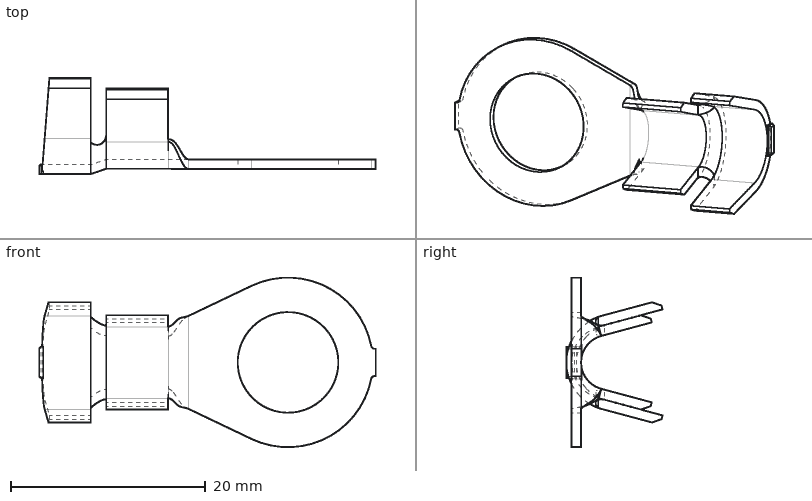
import cadquery as cq
import math

SHEET = 1.0
LENGTH = 34.6
WING_LEAN = 15.0
BEND_ANGLE = 90.0 - WING_LEAN

INS_BASE = -0.52
INS_RADIUS = 5.0
INS_TIP = 9.38
INS_START = 0.28
INS_END = 5.33
INS_END_TILT = 4.5

WIRE_BASE = 0.0
WIRE_RADIUS = 3.8
WIRE_TIP = 8.27
WIRE_START = 6.9
WIRE_END = 13.25

BEVEL_RUN = 0.85
BEVEL_DEPTH = 0.6

NOTCH_X = 5.95
NOTCH_Y = 3.4
NOTCH_RADIUS = 0.9
WEB_STRAIGHT = 0.75

RING_X = 25.58
RING_RADIUS = 8.72
HOLE_RADIUS = 5.15
NECK_X = 15.33
NECK_TAPER = 25.5
FLATTEN_STEPS = 5
TANGENT_X = RING_X - RING_RADIUS * math.sin(math.radians(NECK_TAPER))
TANGENT_Z = RING_RADIUS * math.cos(math.radians(NECK_TAPER))
NECK_HALF_WIDTH = TANGENT_Z - (TANGENT_X - NECK_X) * math.tan(math.radians(NECK_TAPER))

TAB_LENGTH = 0.4
TAB_HALF_WIDTH = 1.63
TAB_CHAMFER = 0.2
TAB_BEVEL = 0.17
STUB_HALF_WIDTH = 1.42
STUB_FILLET = 0.3


def bend_point(base, radius, bend_radius, angle):
    """Point (Y, Z) at an angle on a bend whose outside radius touches Y = base."""
    turn = math.radians(angle)
    return base + radius - bend_radius * math.cos(turn), bend_radius * math.sin(turn)


def along_wing(point, along, outward=0.0):
    """Move a (Y, Z) point along the +Z wing and outward across it."""
    lean = math.radians(WING_LEAN)
    y = point[0] + along * math.cos(lean) - outward * math.sin(lean)
    z = point[1] + along * math.sin(lean) + outward * math.cos(lean)
    return y, z


def u_wire(x, base, outer_end, tip_points, inner_end):
    """Closed U section on the plane at x; the +Z half is given and mirrored."""

    def place(point, side=1):
        return cq.Vector(x, point[0], side * point[1])

    outer_mid = (base, 0.0)
    inner_mid = (base + SHEET, 0.0)
    points = [outer_end] + tip_points + [inner_end]
    lower = [place(p, -1) for p in reversed(points)]
    upper = [place(p) for p in points]
    edges = [cq.Edge.makeThreePointArc(lower[-1], place(outer_mid), upper[0])]
    edges += [cq.Edge.makeLine(a, b) for a, b in zip(upper, upper[1:])]
    edges.append(cq.Edge.makeThreePointArc(upper[-1], place(inner_mid), lower[0]))
    edges += [cq.Edge.makeLine(a, b) for a, b in zip(lower, lower[1:])]
    return cq.Wire.assembleEdges(edges)


def barrel_wire(x, base, radius, tip_points):
    """Barrel section with the full bend and the given wing-tip points."""
    outer_end = bend_point(base, radius, radius, BEND_ANGLE)
    inner_end = bend_point(base, radius, radius - SHEET, BEND_ANGLE)
    return u_wire(x, base, outer_end, tip_points, inner_end)


def barrel(x_start, x_end, base, radius, tip_y):
    """Open barrel: round bottom and two leaning wings with bevelled tips."""
    inner_end = bend_point(base, radius, radius - SHEET, BEND_ANGLE)
    wing = (tip_y - inner_end[0]) / math.cos(math.radians(WING_LEAN))
    tips = [
        along_wing(inner_end, wing - BEVEL_RUN, SHEET),
        along_wing(inner_end, wing, SHEET - BEVEL_DEPTH),
        along_wing(inner_end, wing),
    ]
    section = barrel_wire(x_start, base, radius, tips)
    return cq.Workplane(cq.Solid.extrudeLinear(section, [], cq.Vector(x_end - x_start, 0, 0)))


def insulation_barrel():
    """Larger barrel, with its left end sloping away from the tab."""
    body = barrel(0, INS_END, INS_BASE, INS_RADIUS, INS_TIP)
    height = INS_TIP - INS_BASE
    slope = height * math.tan(math.radians(INS_END_TILT))
    waste = (
        cq.Workplane("XY")
        .moveTo(0, INS_BASE)
        .lineTo(INS_START, INS_BASE)
        .lineTo(INS_START + slope, INS_TIP)
        .lineTo(0, INS_TIP)
        .close()
        .extrude(INS_TIP, both=True)
    )
    return body.cut(waste)


def web():
    """Stretch between the barrels, with its upper edges rounded out by the notch."""

    def section(x, base, radius):
        inner_end = bend_point(base, radius, radius - SHEET, BEND_ANGLE)
        edge = [along_wing(inner_end, WEB_STRAIGHT, SHEET), along_wing(inner_end, WEB_STRAIGHT)]
        return barrel_wire(x, base, radius, edge)

    body = cq.Solid.makeLoft(
        [section(INS_END, INS_BASE, INS_RADIUS), section(WIRE_START, WIRE_BASE, WIRE_RADIUS)], True
    )
    notch = (
        cq.Workplane("XY")
        .center(NOTCH_X, NOTCH_Y)
        .circle(NOTCH_RADIUS)
        .extrude(INS_TIP, both=True)
    )
    above = (
        cq.Workplane("XY")
        .rect(LENGTH, INS_TIP)
        .extrude(INS_TIP, both=True)
        .translate((0, NOTCH_Y + INS_TIP / 2, 0))
    )
    return cq.Workplane(body).cut(notch).cut(above)


def flattening():
    """Stretch where the round bottom of the wire barrel opens into the flat neck."""
    start_half_width = (WIRE_RADIUS - SHEET / 2) * math.radians(BEND_ANGLE)
    sections = []
    for step in range(FLATTEN_STEPS):
        progress = step / FLATTEN_STEPS
        angle = BEND_ANGLE * (1 + math.cos(math.pi * progress)) / 2
        half_width = start_half_width + progress**2 * (NECK_HALF_WIDTH - start_half_width)
        radius = half_width / math.radians(angle) + SHEET / 2
        outer_end = bend_point(WIRE_BASE, radius, radius, angle)
        inner_end = bend_point(WIRE_BASE, radius, radius - SHEET, angle)
        x = WIRE_END + progress * (NECK_X - WIRE_END)
        sections.append(u_wire(x, WIRE_BASE, outer_end, [], inner_end))
    neck = (
        cq.Workplane("YZ", origin=(NECK_X, WIRE_BASE + SHEET / 2, 0))
        .rect(SHEET, 2 * NECK_HALF_WIDTH)
        .wires()
        .val()
    )
    return cq.Workplane(cq.Solid.makeLoft(sections + [neck]))


def ring():
    """Flat ring with a tapered neck, a round hole and a short stub at the far end."""
    stub_root_x = RING_X + math.sqrt(RING_RADIUS**2 - STUB_HALF_WIDTH**2)
    outline = (
        cq.Workplane("XZ")
        .moveTo(NECK_X, -NECK_HALF_WIDTH)
        .lineTo(TANGENT_X, -TANGENT_Z)
        .threePointArc((RING_X, -RING_RADIUS), (stub_root_x, -STUB_HALF_WIDTH))
        .lineTo(LENGTH, -STUB_HALF_WIDTH)
        .lineTo(LENGTH, STUB_HALF_WIDTH)
        .lineTo(stub_root_x, STUB_HALF_WIDTH)
        .threePointArc((RING_X, RING_RADIUS), (TANGENT_X, TANGENT_Z))
        .lineTo(NECK_X, NECK_HALF_WIDTH)
        .close()
    )
    plate = outline.extrude(-SHEET)
    stub_roots = cq.selectors.BoxSelector(
        (stub_root_x - STUB_FILLET / 2, -SHEET, -RING_RADIUS),
        (stub_root_x + STUB_FILLET / 2, 2 * SHEET, RING_RADIUS),
    )
    plate = plate.edges("|Y").edges(stub_roots).fillet(STUB_FILLET)
    hole = cq.Workplane("XZ").center(RING_X, 0).circle(HOLE_RADIUS).extrude(-SHEET)
    return plate.cut(hole)


def tab():
    """Flat carrier tab at X = 0, with bevelled sides and a bevelled +Y edge."""
    block = (
        cq.Workplane("XY")
        .box(TAB_LENGTH, SHEET, 2 * TAB_HALF_WIDTH, centered=(False, False, True))
        .translate((0, INS_BASE, 0))
    )
    return block.edges("<X and |Y").chamfer(TAB_CHAMFER).faces("<X").edges(">Y").chamfer(TAB_BEVEL)


wire_barrel = barrel(WIRE_START, WIRE_END, WIRE_BASE, WIRE_RADIUS, WIRE_TIP)
result = insulation_barrel().union(tab()).union(web()).union(wire_barrel)
result = result.union(flattening()).union(ring())